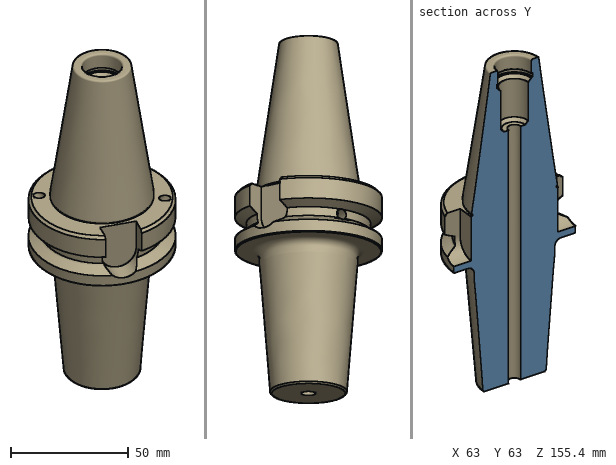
import cadquery as cq
import math

total_height = 155.4
gauge_z = 90.0
neck_z = 88.9
flange_top_z = 88.1
groove_top_z = 75.4
groove_bottom_z = 70.9
flange_bottom_z = 63.0
nose_collar_z = 57.0

gauge_radius = 22.2
radius_per_length = 7 / 48
taper_top_radius = gauge_radius - (total_height - gauge_z) * radius_per_length
taper_top_rounding = 1.0
neck_undercut = 0.5
neck_fillet = 0.6

flange_diameter = 63.0
flange_radius = flange_diameter / 2
flange_top_chamfer = 1.2
flange_bottom_chamfer = 0.5
groove_radius = 26.5
groove_chamfer = 0.6
groove_flank_height = 2.5
rim_z = groove_bottom_z - groove_flank_height
rim_top_z = groove_top_z + groove_flank_height

collar_radius = 21.0
nose_fillet = 3.1
nose_tip_radius = 16.5
nose_tip_chamfer = 0.8

socket_mouth_radius = 9.5
socket_radius = 8.5
socket_depth = 9.2
relief_radius = 9.2
relief_top_depth = 7.0
relief_bottom_depth = 8.7
thread_radius = 7.0
thread_bottom_depth = 31.1
floor_radius = 5.5
through_radius = 3.1

slot_width = 16.2
slot_floor_x = 22.5
slot_bottom_z = 66.5

inlet_radius = 2.2
groove_hole_radius = 2.3
passage_azimuths = (70, 250)
inlet_distance = 26.9
inlet_tilt = 30


mid_offset = 1 - math.sqrt(0.5)


def make_body():
    """Solid of revolution: taper, flange and nose."""
    taper_mid = taper_top_rounding * mid_offset
    neck_radius = gauge_radius - neck_undercut
    nose_mid = nose_fillet * mid_offset
    neck_mid = neck_fillet * mid_offset
    profile = (
        cq.Workplane("YZ")
        .moveTo(0, 0)
        .lineTo(nose_tip_radius - nose_tip_chamfer, 0)
        .lineTo(nose_tip_radius, nose_tip_chamfer)
        .lineTo(collar_radius, nose_collar_z)
        .lineTo(collar_radius, flange_bottom_z - nose_fillet)
        .threePointArc(
            (collar_radius + nose_mid, flange_bottom_z - nose_mid),
            (collar_radius + nose_fillet, flange_bottom_z),
        )
        .lineTo(flange_radius - flange_bottom_chamfer, flange_bottom_z)
        .lineTo(flange_radius, flange_bottom_z + flange_bottom_chamfer)
        .lineTo(flange_radius, rim_z)
        .lineTo(groove_radius + groove_chamfer, groove_bottom_z)
        .lineTo(groove_radius, groove_bottom_z + groove_chamfer)
        .lineTo(groove_radius, groove_top_z)
        .lineTo(flange_radius, rim_top_z)
        .lineTo(flange_radius, flange_top_z - flange_top_chamfer)
        .lineTo(flange_radius - flange_top_chamfer, flange_top_z)
        .lineTo(neck_radius + neck_fillet, flange_top_z)
        .threePointArc(
            (neck_radius + neck_mid, flange_top_z + neck_mid),
            (neck_radius, flange_top_z + neck_fillet),
        )
        .lineTo(neck_radius, neck_z)
        .lineTo(gauge_radius, neck_z)
        .lineTo(gauge_radius, gauge_z)
        .lineTo(taper_top_radius, total_height - taper_top_rounding)
        .threePointArc(
            (taper_top_radius - taper_mid, total_height - taper_mid),
            (taper_top_radius - taper_top_rounding, total_height),
        )
        .lineTo(0, total_height)
        .close()
    )
    return profile.revolve(360, (0, 0, 0), (0, 1, 0))


def make_bore():
    """Stepped drawbar socket that continues as a small through hole."""
    mouth_rounding = socket_mouth_radius - socket_radius
    mouth_mid = mouth_rounding * mid_offset
    socket_z = total_height - socket_depth
    relief_bottom_z = total_height - relief_bottom_depth
    relief_top_z = total_height - relief_top_depth
    floor_z = total_height - thread_bottom_depth
    profile = (
        cq.Workplane("YZ")
        .moveTo(0, 0)
        .lineTo(through_radius, 0)
        .lineTo(through_radius, floor_z)
        .lineTo(floor_radius, floor_z)
        .lineTo(thread_radius, floor_z + thread_radius - floor_radius)
        .lineTo(thread_radius, socket_z - (socket_radius - thread_radius))
        .lineTo(socket_radius, socket_z)
        .lineTo(socket_radius, relief_bottom_z)
        .lineTo(relief_radius, relief_bottom_z)
        .lineTo(relief_radius, relief_top_z)
        .lineTo(socket_radius, relief_top_z)
        .lineTo(socket_radius, total_height - mouth_rounding)
        .threePointArc(
            (socket_radius + mouth_mid, total_height - mouth_mid),
            (socket_mouth_radius, total_height),
        )
        .lineTo(0, total_height)
        .close()
    )
    return profile.revolve(360, (0, 0, 0), (0, 1, 0))


def make_drive_slot(side):
    """Round-bottomed slot open at the flange top; side is -1 or +1 along X."""
    half_width = slot_width / 2
    centre_z = slot_bottom_z + half_width
    return (
        cq.Workplane("YZ", origin=(side * slot_floor_x, 0, 0))
        .moveTo(-half_width, flange_top_z)
        .lineTo(-half_width, centre_z)
        .threePointArc((0, slot_bottom_z), (half_width, centre_z))
        .lineTo(half_width, flange_top_z)
        .close()
        .extrude(side * flange_radius)
    )


def make_passage(azimuth):
    """Tilted inlet from the flange top, joined by a radial hole from the groove."""
    tilt = math.radians(inlet_tilt)
    radial_z = (groove_top_z + groove_bottom_z) / 2
    drop = flange_top_z - radial_z
    meeting_distance = inlet_distance - drop * math.tan(tilt)
    into_part = cq.Vector(-math.sin(tilt), 0, -math.cos(tilt))
    entry = cq.Vector(inlet_distance, 0, flange_top_z)
    lead_in = 2 * inlet_radius
    inlet = cq.Solid.makeCylinder(
        inlet_radius, lead_in + drop / math.cos(tilt), entry - into_part * lead_in, into_part
    )
    radial = cq.Solid.makeCylinder(
        groove_hole_radius,
        groove_radius + groove_hole_radius - meeting_distance,
        cq.Vector(meeting_distance, 0, radial_z),
        cq.Vector(1, 0, 0),
    )
    return cq.Workplane(inlet.fuse(radial)).rotate((0, 0, 0), (0, 0, 1), azimuth)


result = make_body().cut(make_bore())
for side in (-1, 1):
    result = result.cut(make_drive_slot(side))
for azimuth in passage_azimuths:
    result = result.cut(make_passage(azimuth))